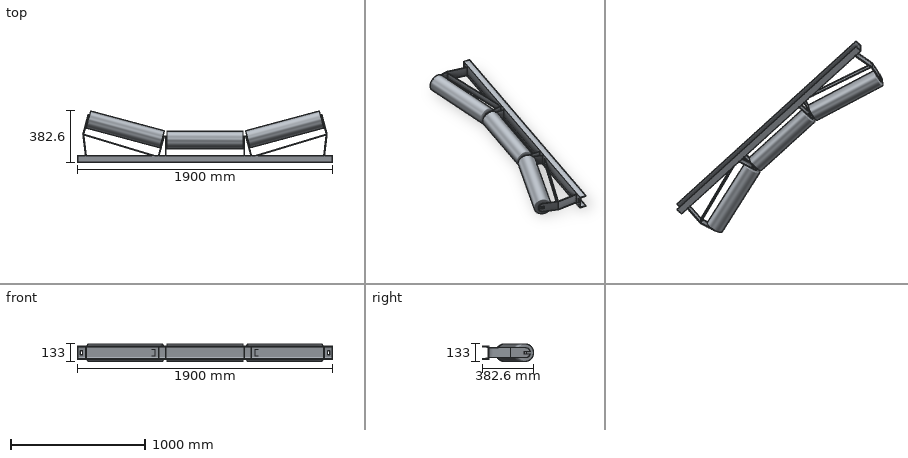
import cadquery as cq
import math

BEAM_LENGTH = 1900.0
BEAM_HEIGHT = 100.0
FLANGE_WIDTH = 50.0
WEB_THICKNESS = 6.0
FLANGE_ROOT = 8.5
FLANGE_SLOPE = 0.08
ROOT_FILLET = 8.5
SLOT_WIDTH = 14.0
SLOT_HEIGHT = 28.0
SLOT_END_DISTANCE = 28.0

OVERALL_DEPTH = 382.58
TROUGH_ANGLE = 15.0
ROLLER_DIAMETER = 133.0
ROLLER_LENGTH = 570.0
ROLLER_EDGE_FILLET = 5.0
CENTRE_ROLLER_Y = 116.5
WING_TOP_OUTER_X = 849.0
AXLE_SIZE = 18.0

PLATE = 6.0
OUTER_PLATE = 8.0
BRACKET_WIDTH = 75.0
BRACE_WIDTH = 50.0
BRACKET_GAP = 4.0
INNER_BRACKET_TOP = 145.0
OUTER_BEND_Y = 160.0
OUTER_FOOT_X = 884.0
BRACE_FOOT_X = 372.0

ROLLER_RADIUS = ROLLER_DIAMETER / 2
AXLE_LENGTH = ROLLER_LENGTH + 2 * (BRACKET_GAP + PLATE)
FACE_OFFSET = ROLLER_LENGTH / 2 + BRACKET_GAP

SIN = math.sin(math.radians(TROUGH_ANGLE))
COS = math.cos(math.radians(TROUGH_ANGLE))
AXIS_DIR = (COS, SIN)
UP_DIR = (-SIN, COS)
TOP_Y = OVERALL_DEPTH - FLANGE_WIDTH

CORNER_ALONG = ROLLER_LENGTH / 2 - ROLLER_EDGE_FILLET
CORNER_UP = ROLLER_RADIUS - ROLLER_EDGE_FILLET
WING_X = WING_TOP_OUTER_X - CORNER_ALONG * COS + CORNER_UP * SIN
WING_Y = TOP_Y - ROLLER_EDGE_FILLET - CORNER_ALONG * SIN - CORNER_UP * COS


def wing_point(along, up):
    """XY point given along the right wing roller axis and square to it."""
    return (
        WING_X + along * AXIS_DIR[0] + up * UP_DIR[0],
        WING_Y + along * AXIS_DIR[1] + up * UP_DIR[1],
    )


def wing_up_at_y(along, y):
    """Distance square to the wing axis at which the line `along` reaches height y."""
    return (y - WING_Y - along * AXIS_DIR[1]) / UP_DIR[1]


def plate_from_outline(points, width):
    """Flat outline in XY extruded to `width`, centred on Z = 0."""
    return cq.Workplane("XY").polyline(points).close().extrude(width / 2, both=True)


def tilt_to_wing(body):
    """Moves a body built along X at the origin to the right wing roller."""
    return body.rotate((0, 0, 0), (0, 0, 1), TROUGH_ANGLE).translate((WING_X, WING_Y, 0))


def make_beam():
    half = BEAM_HEIGHT / 2
    mid_flange = FLANGE_WIDTH / 2
    tip = FLANGE_ROOT - FLANGE_SLOPE * mid_flange
    root = FLANGE_ROOT + FLANGE_SLOPE * (mid_flange - WEB_THICKNESS)
    section = [
        (0, -half),
        (0, half),
        (-FLANGE_WIDTH, half),
        (-FLANGE_WIDTH, half - tip),
        (-WEB_THICKNESS, half - root),
        (-WEB_THICKNESS, root - half),
        (-FLANGE_WIDTH, tip - half),
        (-FLANGE_WIDTH, -half),
    ]
    beam = cq.Workplane("YZ").polyline(section).close().extrude(BEAM_LENGTH / 2, both=True)
    inner_corners = [
        cq.NearestToPointSelector((0, -WEB_THICKNESS, z)) for z in (root - half, half - root)
    ]
    beam = beam.edges(inner_corners[0] + inner_corners[1]).fillet(ROOT_FILLET)
    slot_x = BEAM_LENGTH / 2 - SLOT_END_DISTANCE
    slots = (
        cq.Workplane("XZ")
        .pushPoints([(-slot_x, 0), (slot_x, 0)])
        .rect(SLOT_WIDTH, SLOT_HEIGHT)
        .extrude(WEB_THICKNESS)
    )
    return beam.cut(slots)


def make_roller():
    shell = (
        cq.Workplane("YZ")
        .workplane(offset=-ROLLER_LENGTH / 2)
        .circle(ROLLER_RADIUS)
        .extrude(ROLLER_LENGTH)
        .edges()
        .fillet(ROLLER_EDGE_FILLET)
    )
    axle = cq.Workplane("XY").box(AXLE_LENGTH, AXLE_SIZE, AXLE_SIZE)
    return shell.union(axle)


def make_inner_bracket():
    """Upright leg at the centre roller and a tilted leg at the wing roller, joined by a bridge."""
    leg_x = FACE_OFFSET
    tilted_near = -FACE_OFFSET
    tilted_far = tilted_near - PLATE
    top = INNER_BRACKET_TOP
    under = top - PLATE
    outline = [
        (leg_x, 0),
        (leg_x, top),
        wing_point(tilted_near, wing_up_at_y(tilted_near, top)),
        wing_point(tilted_near, wing_up_at_y(tilted_near, 0)),
        wing_point(tilted_far, wing_up_at_y(tilted_far, 0)),
        wing_point(tilted_far, wing_up_at_y(tilted_far, under)),
        (leg_x + PLATE, under),
        (leg_x + PLATE, 0),
    ]
    return plate_from_outline(outline, BRACKET_WIDTH)


def make_outer_bracket():
    """Foot leaning outwards from the beam, then a tilted upright with a rounded, slotted top."""
    near = FACE_OFFSET
    far = near + OUTER_PLATE
    bend_near = wing_point(near, wing_up_at_y(near, OUTER_BEND_Y))
    bend_far = wing_point(far, wing_up_at_y(far, OUTER_BEND_Y))
    foot_thickness = bend_far[0] - bend_near[0]
    top_up = BRACKET_WIDTH / 2
    outline = [
        (OUTER_FOOT_X, 0),
        bend_near,
        wing_point(near, top_up),
        wing_point(far, top_up),
        bend_far,
        (OUTER_FOOT_X + foot_thickness, 0),
    ]
    bracket = plate_from_outline(outline, BRACKET_WIDTH)
    above_axle = cq.Workplane("XY").box(BRACKET_WIDTH, BRACKET_WIDTH, 2 * BRACKET_WIDTH)
    above_axle = above_axle.translate((near, BRACKET_WIDTH / 2, 0))
    round_top = cq.Workplane("YZ").circle(BRACKET_WIDTH / 2).extrude(BEAM_LENGTH)
    corners = above_axle.cut(round_top)
    slot = (
        cq.Workplane("XY")
        .box(OUTER_PLATE, BRACKET_WIDTH, AXLE_SIZE)
        .translate((near + OUTER_PLATE / 2, BRACKET_WIDTH / 2 - AXLE_SIZE / 2, 0))
    )
    return bracket.cut(tilt_to_wing(corners)).cut(tilt_to_wing(slot))


def make_brace():
    """Sloping bar from the bend of the outer bracket down to the beam, ends cut to fit both."""
    top_x, top_y = wing_point(FACE_OFFSET, wing_up_at_y(FACE_OFFSET, OUTER_BEND_Y))
    run = top_x - BRACE_FOOT_X
    slope = top_y / run
    upright_thickness = PLATE * math.hypot(run, top_y) / run
    bracket_lean = (top_x - OUTER_FOOT_X) / top_y
    lower_fall = upright_thickness / (1 - slope * bracket_lean)
    outline = [
        (BRACE_FOOT_X, 0),
        (top_x, top_y),
        (top_x - lower_fall * bracket_lean, top_y - lower_fall),
        (BRACE_FOOT_X + upright_thickness / slope, 0),
    ]
    return plate_from_outline(outline, BRACE_WIDTH)


roller = make_roller()
centre_roller = roller.translate((0, CENTRE_ROLLER_Y, 0))
wing_roller = tilt_to_wing(roller)

inner_bracket = make_inner_bracket().cut(centre_roller).cut(wing_roller)
outer_bracket = make_outer_bracket()
brace = make_brace()
beam = make_beam()

bodies = [beam.val(), centre_roller.val()]
for right_body in [wing_roller, inner_bracket, outer_bracket, brace]:
    bodies.append(right_body.val())
    bodies.append(right_body.mirror("YZ").val())

result = cq.Compound.makeCompound(bodies)